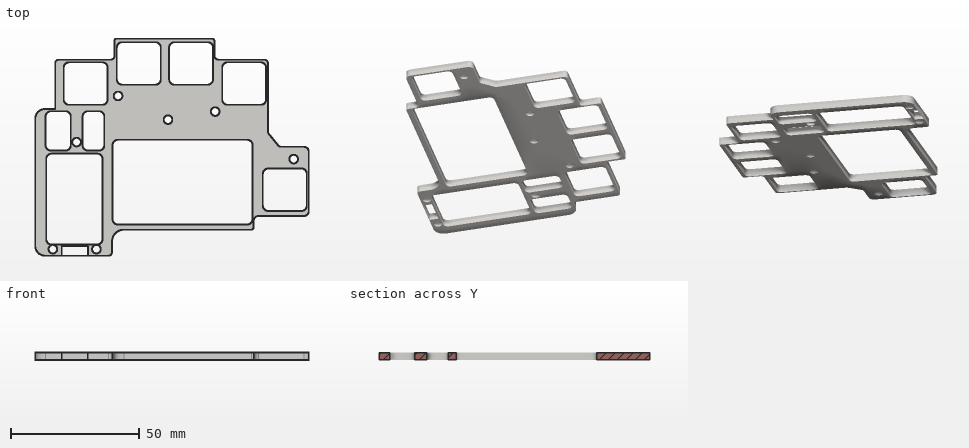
import cadquery as cq

PLATE_LENGTH = 106.91
PLATE_WIDTH = 84.79
PLATE_THICKNESS = 3.0

LEFT_SHOULDER_X = 7.8
LEFT_BLOCK_RIGHT_X = 30.1
TOP_TAB_LEFT_X = 31.0
TOP_TAB_RIGHT_X = 70.1
LOWER_RAIL_RIGHT_X = 85.35
RIGHT_SHOULDER_X = 90.95
SLOPE_FOOT_X = 95.35

LOWER_RAIL_Y = 10.15
RIGHT_TAB_BOTTOM_Y = 15.5
RIGHT_TAB_TOP_Y = 42.6
SLOPE_HEAD_Y = 48.0
LEFT_BLOCK_TOP_Y = 57.4
SHOULDER_Y = 76.6

LEFT_CORNER_RADIUS = 4.0
RAIL_CORNER_RADIUS = 4.5
OUTLINE_RADIUS = 1.5
TOP_TAB_LEFT_RADIUS = 0.65
TOP_TAB_RIGHT_RADIUS = 1.0
RAIL_END_RADIUS = 1.0
RIGHT_TAB_RADIUS = 2.0
RIGHT_TAB_ROOT_RADIUS = 1.8

KEY_WINDOW_LENGTH = 17.05
KEY_WINDOW_WIDTH = 16.5
SHOULDER_KEY_Y = 67.25
TOP_KEY_Y = 75.1
KEY_WINDOW_CENTRES = [
    (19.75, SHOULDER_KEY_Y),
    (40.5, TOP_KEY_Y),
    (60.9, TOP_KEY_Y),
    (81.6, SHOULDER_KEY_Y),
    (97.5, 25.8),
]
WINDOW_RADIUS = 2.0

SMALL_WINDOW_BOTTOM = 41.15
SMALL_WINDOW_TOP = 56.4
OTHER_WINDOWS = [
    (4.15, SMALL_WINDOW_BOTTOM, 13.9, SMALL_WINDOW_TOP),
    (18.6, SMALL_WINDOW_BOTTOM, 27.0, SMALL_WINDOW_TOP),
    (4.4, 4.45, 26.3, 39.85),
    (30.3, 12.25, 84.85, 45.25),
]

HOLE_DIAMETER = 3.3
LOWER_HOLE_Y = 2.6
HOLE_CENTRES = [
    (6.95, LOWER_HOLE_Y),
    (23.95, LOWER_HOLE_Y),
    (16.2, 44.4),
    (32.4, 62.4),
    (51.9, 53.15),
    (70.3, 56.3),
    (100.95, 37.75),
]

SLOT_LEFT_X = 10.5
SLOT_RIGHT_X = 20.6
SLOT_TOP_Y = 3.7
SLOT_WALL_THICKNESS = 0.1

OUTLINE_CORNERS = [
    (0, 0, LEFT_CORNER_RADIUS),
    (0, LEFT_BLOCK_TOP_Y, LEFT_CORNER_RADIUS),
    (LEFT_SHOULDER_X, LEFT_BLOCK_TOP_Y, 0),
    (LEFT_SHOULDER_X, SHOULDER_Y, OUTLINE_RADIUS),
    (TOP_TAB_LEFT_X, SHOULDER_Y, OUTLINE_RADIUS),
    (TOP_TAB_LEFT_X, PLATE_WIDTH, TOP_TAB_LEFT_RADIUS),
    (TOP_TAB_RIGHT_X, PLATE_WIDTH, TOP_TAB_RIGHT_RADIUS),
    (TOP_TAB_RIGHT_X, SHOULDER_Y, OUTLINE_RADIUS),
    (RIGHT_SHOULDER_X, SHOULDER_Y, OUTLINE_RADIUS),
    (RIGHT_SHOULDER_X, SLOPE_HEAD_Y, OUTLINE_RADIUS),
    (SLOPE_FOOT_X, RIGHT_TAB_TOP_Y, OUTLINE_RADIUS),
    (PLATE_LENGTH, RIGHT_TAB_TOP_Y, RIGHT_TAB_RADIUS),
    (PLATE_LENGTH, RIGHT_TAB_BOTTOM_Y, RIGHT_TAB_RADIUS),
    (LOWER_RAIL_RIGHT_X, RIGHT_TAB_BOTTOM_Y, RIGHT_TAB_ROOT_RADIUS),
    (LOWER_RAIL_RIGHT_X, LOWER_RAIL_Y, RAIL_END_RADIUS),
    (LEFT_BLOCK_RIGHT_X, LOWER_RAIL_Y, RAIL_CORNER_RADIUS),
    (LEFT_BLOCK_RIGHT_X, 0, OUTLINE_RADIUS),
]


def make_plate():
    """Flat plate with the stepped outline and its rounded corners."""
    points = [(x, y) for x, y, _ in OUTLINE_CORNERS]
    plate = cq.Workplane("XY").polyline(points).close().extrude(PLATE_THICKNESS)
    for x, y, radius in OUTLINE_CORNERS:
        if radius > 0:
            corner = cq.selectors.NearestToPointSelector((x, y, PLATE_THICKNESS / 2))
            plate = plate.edges("|Z").edges(corner).fillet(radius)
    return plate


def make_box(left, bottom, right, top):
    """Block through the full plate thickness between the given edges."""
    box = cq.Workplane("XY").box(right - left, top - bottom, PLATE_THICKNESS, centered=False)
    return box.translate((left, bottom, 0))


def cut_key_windows(plate):
    """Equal rounded windows, one for each key."""
    window = cq.Workplane("XY").rect(KEY_WINDOW_LENGTH, KEY_WINDOW_WIDTH).extrude(PLATE_THICKNESS)
    window = window.edges("|Z").fillet(WINDOW_RADIUS)
    for x, y in KEY_WINDOW_CENTRES:
        plate = plate.cut(window.translate((x, y, 0)))
    return plate


def cut_other_windows(plate):
    """Rounded windows of individual sizes."""
    for edges in OTHER_WINDOWS:
        plate = plate.cut(make_box(*edges).edges("|Z").fillet(WINDOW_RADIUS))
    return plate


def cut_holes(plate):
    """Plain round holes through the plate."""
    holes = cq.Workplane("XY").pushPoints(HOLE_CENTRES).circle(HOLE_DIAMETER / 2)
    return plate.cut(holes.extrude(PLATE_THICKNESS))


def cut_connector_slot(plate):
    """Square-cornered slot just inside the lower edge."""
    return plate.cut(make_box(SLOT_LEFT_X, SLOT_WALL_THICKNESS, SLOT_RIGHT_X, SLOT_TOP_Y))


result = make_plate()
result = cut_key_windows(result)
result = cut_other_windows(result)
result = cut_holes(result)
result = cut_connector_slot(result)